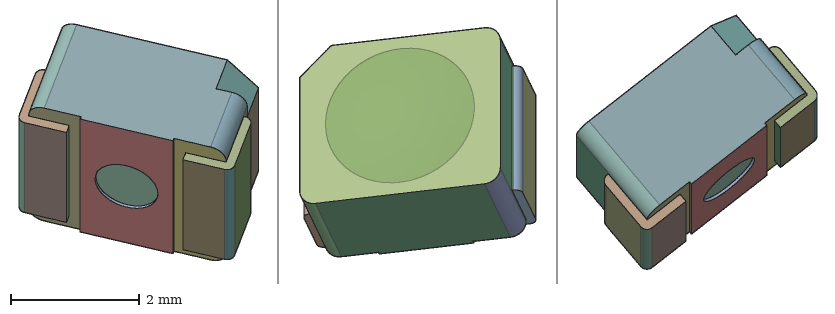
import cadquery as cq

overall_width = 3.51
overall_depth = 2.03
body_height = 2.79

lead_thickness = 0.147
lead_height = 2.222
lead_depth = 1.11
foot_length = 0.807
bend_radius = 0.125

lens_rise = 0.125
lens_radius = 1.195
corner_radius = 0.253
mark_chamfer = 0.51
mark_depth = 0.607

pad_width = 1.515
pad_thickness = 0.05
recess_diameter = 1.02
recess_depth = 0.05

foot_y = -overall_depth / 2
body_back_y = foot_y + lead_thickness
body_front_y = overall_depth / 2 - lens_rise
body_depth = body_front_y - body_back_y
body_width = overall_width - 2 * lead_thickness
pad_y = body_back_y - pad_thickness


def block(width, height, start_y, depth):
    """Box centred on X and Z, running from start_y toward +Y."""
    return cq.Workplane("XY").box(width, depth, height).translate((0, start_y + depth / 2, 0))


def make_body():
    """Rounded housing with a chamfered polarity mark at the +X, +Z corner."""
    body = block(body_width, body_height, body_back_y, body_depth)
    body = body.edges("|Y").fillet(corner_radius)
    corner_x = body_width / 2
    corner_z = body_height / 2
    mark = (
        cq.Workplane("XZ", origin=(0, body_front_y, 0))
        .moveTo(corner_x, corner_z)
        .lineTo(corner_x - mark_chamfer, corner_z)
        .lineTo(corner_x, corner_z - mark_chamfer)
        .close()
        .extrude(mark_depth)
    )
    return body.cut(mark)


def make_lens():
    """Shallow spherical cap on the +Y face."""
    sphere_radius = (lens_radius**2 + lens_rise**2) / (2 * lens_rise)
    centre_y = body_front_y + lens_rise - sphere_radius
    mid_x = lens_radius / 2
    mid_y = centre_y + (sphere_radius**2 - mid_x**2) ** 0.5
    return (
        cq.Workplane("XY")
        .moveTo(0, body_front_y)
        .lineTo(lens_radius, body_front_y)
        .threePointArc((mid_x, mid_y), (0, body_front_y + lens_rise))
        .close()
        .revolve(360, (0, 0, 0), (0, 1, 0))
    )


def make_lead():
    """L-shaped terminal on the -X end, rounded at both outer bends."""
    outer_x = -overall_width / 2
    body_x = -body_width / 2
    lead = (
        cq.Workplane("XY", origin=(0, 0, -lead_height / 2))
        .moveTo(outer_x, foot_y)
        .lineTo(outer_x + foot_length, foot_y)
        .lineTo(outer_x + foot_length, body_back_y)
        .lineTo(body_x, body_back_y)
        .lineTo(body_x, foot_y + lead_depth)
        .lineTo(outer_x, foot_y + lead_depth)
        .close()
        .extrude(lead_height)
    )
    return lead.edges("|Z and <X").fillet(bend_radius)


def make_recess():
    """Round recess sunk into the mounting pad."""
    return (
        cq.Workplane("XZ", origin=(0, pad_y + recess_depth, 0))
        .circle(recess_diameter / 2)
        .extrude(recess_depth)
    )


pad = block(pad_width, body_height, pad_y, pad_thickness)
left_lead = make_lead()
right_lead = left_lead.mirror("YZ")

result = make_body().union(make_lens()).union(pad)
result = result.union(left_lead).union(right_lead)
result = result.cut(make_recess())